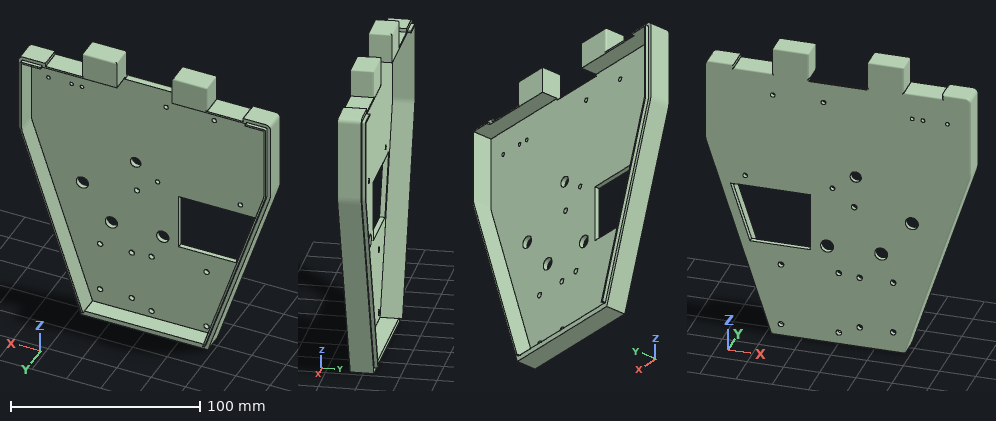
import cadquery as cq
import math

width = 147.0
bottom_width = 74.0
bend_height = 112.0
shoulder_height = 159.0
wall_depth = 13.0
wall = 3.0
floor = 3.0
edge_radius = 1.0
corner_radius = 3.0
bend_radius = 12.0

lip_setback = 2.0
lip_height = 2.0

notch_depth = 2.0
notch_outer_x = 57.5
tab_inner_x = 16.0
tab_width = 20.5
tab_top = 172.0

window_right = -15.3
window_top_left = -59.3
window_top = 87.3
window_bottom = 54.4

holes = {
    2.0: [(41.0, 142.0), (47.0, 142.0), (60.5, 142.0)],
    2.5: [(-36.0, 144.0), (-8.0, 144.0), (-51.2, 93.2), (-3.0, 93.2)],
    3.0: [
        (9.0, 83.8),
        (-31.5, 42.8), (0.5, 42.8), (-31.5, 7.0), (0.5, 7.0),
        (12.0, 41.8), (30.5, 41.8), (12.0, 12.0), (30.5, 12.0),
    ],
    6.0: [(9.8, 102.0)],
    7.0: [(40.8, 79.0), (-6.0, 58.0), (23.9, 58.0)],
}

half_width = width / 2
half_bottom = bottom_width / 2
cavity_top = shoulder_height - wall
gap_floor = cavity_top - edge_radius
notch_height = shoulder_height - notch_depth
taper = (half_width - half_bottom) / bend_height
taper_stretch = math.hypot(1, taper)


def prism(points, y_start, y_end):
    """Extrude an XZ outline from y_start to y_end."""
    plane = cq.Workplane("XZ", origin=(0, y_start, 0))
    return plane.polyline(points).close().extrude(y_start - y_end)


def block(x_start, x_end, y_start, y_end, z_start, z_end):
    """Axis-aligned box given by its limits."""
    size = (x_end - x_start, y_end - y_start, z_end - z_start)
    return cq.Workplane("XY").box(*size, centered=False).translate((x_start, y_start, z_start))


def tapered_body(inset, bottom, top, y_start, y_end):
    """Shield-shaped prism whose sides lie `inset` inside the outer walls."""
    side_x = half_width - inset
    bottom_x = half_bottom + taper * bottom - inset * taper_stretch
    bend_z = (side_x + inset * taper_stretch - half_bottom) / taper
    points = [
        (-bottom_x, bottom),
        (bottom_x, bottom),
        (side_x, bend_z),
        (side_x, top),
        (-side_x, top),
        (-side_x, bend_z),
    ]
    body = prism(points, y_start, y_end)
    bends = cq.selectors.BoxSelector(
        (-width, y_start - 1, bend_z - 1), (width, y_end + 1, bend_z + 1)
    )
    body = body.edges("|Y").edges(bends).fillet(bend_radius - inset)
    if inset < corner_radius:
        body = body.edges("|Y and >Z").fillet(corner_radius - inset)
    return body


def top_recess(shoulder_x, level, y_start, y_end):
    """Material removed between the two upper corners, down to `level`."""
    return block(-shoulder_x, shoulder_x, y_start, y_end, level, tab_top)


def make_shell():
    shell = tapered_body(0, 0, shoulder_height, 0, wall_depth)
    shell = shell.cut(top_recess(notch_outer_x, notch_height, 0, wall_depth))
    shell = shell.faces("<Y").edges().fillet(edge_radius)
    return shell.cut(tapered_body(wall, wall, cavity_top, floor, wall_depth))


def make_lip():
    rear = wall_depth + lip_height
    lip = tapered_body(lip_setback, wall, shoulder_height - lip_setback, wall_depth, rear)
    lip = lip.cut(tapered_body(wall, wall, cavity_top, wall_depth, rear))
    return lip.cut(top_recess(notch_outer_x + lip_setback, cavity_top, wall_depth, rear))


def make_tab(side):
    """Tab on the given side (-1 or 1); its rear edge facing the gap between the tabs stays sharp."""
    x_inner = side * tab_inner_x
    x_outer = side * (tab_inner_x + tab_width)
    tab = block(min(x_inner, x_outer), max(x_inner, x_outer), 0, wall_depth, cavity_top, tab_top)
    sharp_edge = cq.selectors.NearestToPointSelector((x_inner, wall_depth, (cavity_top + tab_top) / 2))
    rounded_edges = cq.StringSyntaxSelector("not <Z") - sharp_edge
    return tab.edges(rounded_edges).fillet(edge_radius)


def make_gap():
    """Cutter between the tabs: its rounded lower front edge leaves a hollow in the front plate."""
    gap = block(-tab_inner_x, tab_inner_x, 0, wall_depth, gap_floor, tab_top)
    return gap.edges("<Y and <Z").fillet(edge_radius)


def make_window():
    bottom_left = window_top_left + taper * (window_top - window_bottom)
    points = [
        (window_right, window_top),
        (window_top_left, window_top),
        (bottom_left, window_bottom),
        (window_right, window_bottom),
    ]
    return prism(points, 0, floor)


def make_holes(diameter, centres):
    return cq.Workplane("XZ").pushPoints(centres).circle(diameter / 2).extrude(-floor)


result = make_shell()
for tab_side in (-1, 1):
    result = result.union(make_tab(tab_side))
result = result.union(make_lip())
result = result.cut(make_gap())
result = result.cut(make_window())
for hole_diameter, hole_centres in holes.items():
    result = result.cut(make_holes(hole_diameter, hole_centres))